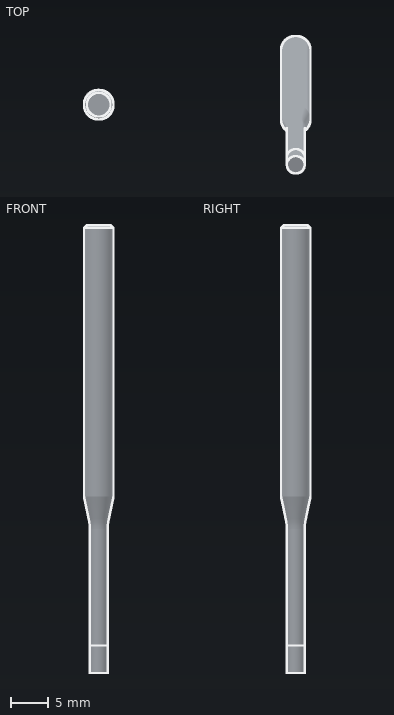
import cadquery as cq
import math

total_length = 60.0
shank_diameter = 4.0
shank_chamfer = 0.4
tip_length = 3.7
neck_diameter = 2.42
neck_end_height = 19.3
blend_radius = 6.0
cone_half_angle = math.radians(12.0)

shank_radius = shank_diameter / 2
neck_radius = neck_diameter / 2


def blend_point(angle):
    """Point (radius, height) on the blend arc where its slope from the axis is angle."""
    radius = neck_radius + blend_radius * (1 - math.cos(angle))
    height = neck_end_height + blend_radius * math.sin(angle)
    return radius, height


blend_middle = blend_point(cone_half_angle / 2)
blend_end = blend_point(cone_half_angle)
cone_length = (shank_radius - blend_end[0]) / math.tan(cone_half_angle)
cone_top_height = blend_end[1] + cone_length


def make_tip():
    """Plain cylindrical cutting tip at the bottom end."""
    return cq.Workplane("XY").circle(neck_radius).extrude(tip_length)


def make_shank():
    """Neck, blend arc, cone and chamfered shank, revolved about Z from one half profile."""
    half_profile = (
        cq.Workplane("XZ")
        .moveTo(0, tip_length)
        .lineTo(neck_radius, tip_length)
        .lineTo(neck_radius, neck_end_height)
        .threePointArc(blend_middle, blend_end)
        .lineTo(shank_radius, cone_top_height)
        .lineTo(shank_radius, total_length - shank_chamfer)
        .lineTo(shank_radius - shank_chamfer, total_length)
        .lineTo(0, total_length)
        .close()
    )
    return half_profile.revolve(360, (0, 0), (0, 1))


tip = make_tip()
shank = make_shank()

result = cq.Compound.makeCompound([tip.val(), shank.val()])